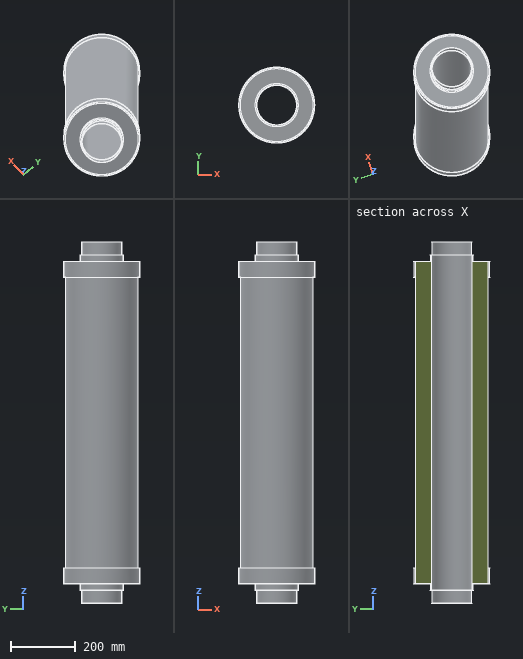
import cadquery as cq

total_length = 1120.0
casing_diameter = 226.0
collar_diameter = 134.0
collar_length = 20.0
spigot_diameter = 124.5
spigot_length = 40.0
spigot_wall = 1.0
spigot_seat_depth = 1.0
bore_diameter = 125.0
cap_diameter = 236.0
cap_height = 50.0
cap_sheet = 1.0

casing_radius = casing_diameter / 2
collar_radius = collar_diameter / 2
spigot_radius = spigot_diameter / 2
spigot_bore_radius = spigot_radius - spigot_wall
bore_radius = bore_diameter / 2
cap_radius = cap_diameter / 2
cap_inner_radius = cap_radius - cap_sheet

spigot_end = total_length / 2
collar_end = spigot_end - spigot_length
casing_end = collar_end - collar_length
bore_end = collar_end - spigot_seat_depth
cap_rim = casing_end - cap_height


def revolve_profile(points):
    """Turn a closed (radius, height) outline about the Z axis."""
    return cq.Workplane("XZ").polyline(points).close().revolve(360, (0, 0, 0), (0, 1, 0))


def make_silencer_body():
    """Long casing with a through bore, and a collar and thin spigot at each end."""
    upper_outside = [
        (casing_radius, casing_end),
        (collar_radius, casing_end),
        (collar_radius, collar_end),
        (spigot_radius, collar_end),
        (spigot_radius, spigot_end),
    ]
    upper_inside = [
        (spigot_bore_radius, spigot_end),
        (spigot_bore_radius, bore_end),
        (bore_radius, bore_end),
    ]
    upper_outline = upper_outside + upper_inside
    lower_outline = [(radius, -height) for radius, height in reversed(upper_outline)]
    return revolve_profile(upper_outline + lower_outline)


def make_end_cap(side):
    """Sheet-metal cap: a skirt around the casing and a flat rim flush with the casing end.

    side is +1 for the top cap and -1 for the bottom cap.
    """
    outline = [
        (cap_radius, cap_rim),
        (cap_radius, casing_end),
        (casing_radius, casing_end),
        (casing_radius, casing_end - cap_sheet),
        (cap_inner_radius, casing_end - cap_sheet),
        (cap_inner_radius, cap_rim),
    ]
    return revolve_profile([(radius, side * height) for radius, height in outline])


silencer_body = make_silencer_body()
end_caps = [make_end_cap(side) for side in (1, -1)]

result = cq.Compound.makeCompound([silencer_body.val(), *[cap.val() for cap in end_caps]])